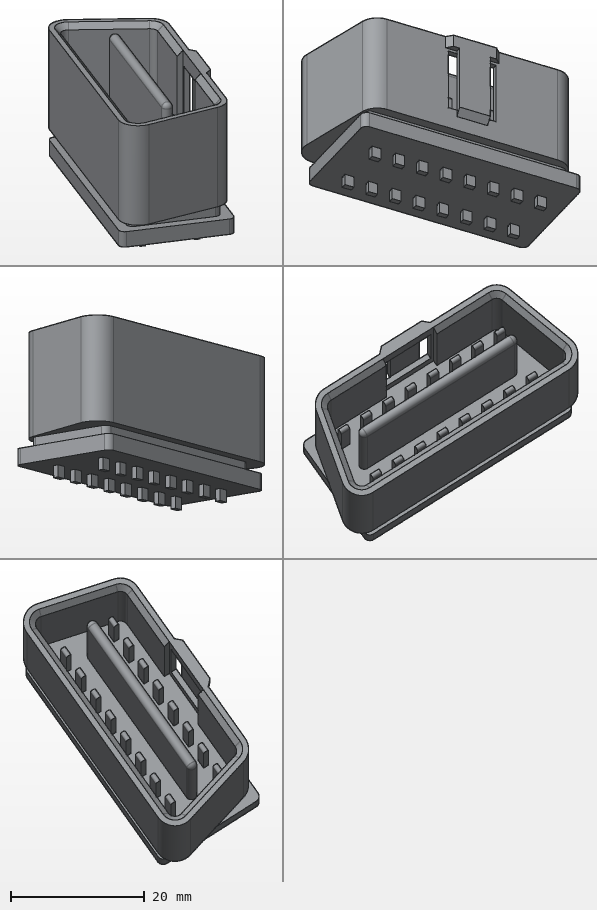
import cadquery as cq
import math

plate_bottom = 1.85
plate_top = 4.38
shell_bottom = 6.1
shell_top = 22.35

shell_width = 41.3
shell_depth = 17.8
side_taper = math.radians(15)
corner_radius = 3.05
wall = 1.8
rim_land = 0.9
rim_chamfer = wall - rim_land
floor_top = shell_bottom + wall

plate_width = 37.0
plate_depth = 18.05
neck_width = 34.0
neck_front = 1.75
neck_back = 16.3
base_corner_radius = 1.0

pins_per_row = 8
pin_pitch = 4.0
pin_width = 1.53
pin_thickness = 0.85
pin_top = 14.85
row_spacing = 8.6
rows_middle = 8.9
blade_length = 28.08
blade_thickness = 1.65
blade_top = shell_top

lintel_width = 9.1
latch_back = 18.7
latch_step = latch_back - shell_depth
lintel_bottom = 20.3
window_top = 19.85
window_width = 8.1
strip_width = 5.2
strip_ramp_top = 9.7
strip_ramp_bottom = 8.55


def block(x_size, y_front, y_back, z_low, z_high):
    """Box centred on x = 0 between the given y and z limits."""
    return cq.Workplane("XY").box(
        x_size, y_back - y_front, z_high - z_low, centered=(True, False, False)
    ).translate((0, y_front, z_low))


def shell_prism(inset, z_low, z_high):
    """Rounded trapezoid prism, its outline moved inwards by inset."""
    front_center = shell_width / 2 - corner_radius
    front_half = front_center + corner_radius * math.tan(math.pi / 4 + side_taper / 2)
    back_half = front_half - shell_depth * math.tan(side_taper)
    half_angle = (math.pi / 2 - side_taper) / 2
    front_half -= inset / math.tan(half_angle)
    back_half -= inset * math.tan(half_angle)
    return (
        cq.Workplane("XY", origin=(0, 0, z_low))
        .polyline([
            (-front_half, inset),
            (front_half, inset),
            (back_half, shell_depth - inset),
            (-back_half, shell_depth - inset),
        ])
        .close()
        .extrude(z_high - z_low)
        .edges("|Z")
        .fillet(corner_radius - inset)
    )


def make_shell():
    """Cup with a closed floor and a chamfered mouth."""
    cavity = shell_prism(wall, floor_top, shell_top)
    cup = shell_prism(0, shell_bottom, shell_top).cut(cavity)
    mouth_edges = cq.selectors.BoxSelector(
        (-shell_width / 2 + rim_land, rim_land, shell_top - rim_land),
        (shell_width / 2 - rim_land, shell_depth - rim_land, shell_top + rim_land),
        boundingbox=True,
    )
    return cup.edges(mouth_edges).chamfer(rim_chamfer)


def make_base():
    """Rounded mounting plate with the narrower neck on top."""
    plate = block(plate_width, 0, plate_depth, plate_bottom, plate_top)
    neck = block(neck_width, neck_front, neck_back, plate_top, shell_bottom)
    plate = plate.edges("|Z").fillet(base_corner_radius)
    neck = neck.edges("|Z").fillet(base_corner_radius)
    return plate.union(neck)


def add_latch(body):
    """Cut the stepped window in the back wall and add the lintel and strip behind it."""
    recess_back = shell_depth - rim_land
    recess = block(lintel_width, shell_depth - wall, recess_back, floor_top, shell_top)
    window = block(window_width, recess_back, shell_depth, strip_ramp_top, window_top)
    lintel = (
        cq.Workplane("XY", origin=(0, 0, lintel_bottom))
        .polyline([
            (-lintel_width / 2, recess_back),
            (lintel_width / 2, recess_back),
            (lintel_width / 2, shell_depth),
            (lintel_width / 2 - latch_step, latch_back),
            (-lintel_width / 2 + latch_step, latch_back),
            (-lintel_width / 2, shell_depth),
        ])
        .close()
        .extrude(shell_top - lintel_bottom)
    )
    strip = (
        cq.Workplane("YZ")
        .polyline([
            (shell_depth, lintel_bottom),
            (latch_back, lintel_bottom),
            (latch_back, strip_ramp_top),
            (shell_depth, strip_ramp_bottom),
        ])
        .close()
        .extrude(strip_width / 2, both=True)
    )
    return body.cut(recess).cut(window).union(lintel).union(strip)


def make_blade():
    """Divider with fully rounded ends and a fully rounded top."""
    radius = blade_thickness / 2
    straight = blade_length - blade_thickness
    round_center = blade_top - radius
    blade = (
        cq.Workplane("XY", origin=(0, rows_middle, floor_top))
        .slot2D(blade_length, blade_thickness)
        .extrude(round_center - floor_top)
    )
    ridge = (
        cq.Workplane("YZ", origin=(-straight / 2, rows_middle, round_center))
        .circle(radius)
        .extrude(straight)
    )
    blade = blade.union(ridge)
    for side in (-1, 1):
        end = cq.Workplane("XY").sphere(radius)
        blade = blade.union(end.translate((side * straight / 2, rows_middle, round_center)))
    return blade


def make_pin():
    """Flat pin, rounded over at the top, standing on z = 0."""
    half = pin_thickness / 2
    return (
        cq.Workplane("YZ")
        .moveTo(-half, 0)
        .lineTo(half, 0)
        .lineTo(half, pin_top - half)
        .threePointArc((0, pin_top), (-half, pin_top - half))
        .close()
        .extrude(pin_width / 2, both=True)
    )


result = add_latch(make_shell().union(make_base())).union(make_blade())
for row in (-1, 1):
    for index in range(pins_per_row):
        pin_x = (index - (pins_per_row - 1) / 2) * pin_pitch
        pin_y = rows_middle + row * row_spacing / 2
        result = result.union(make_pin().translate((pin_x, pin_y, 0)))